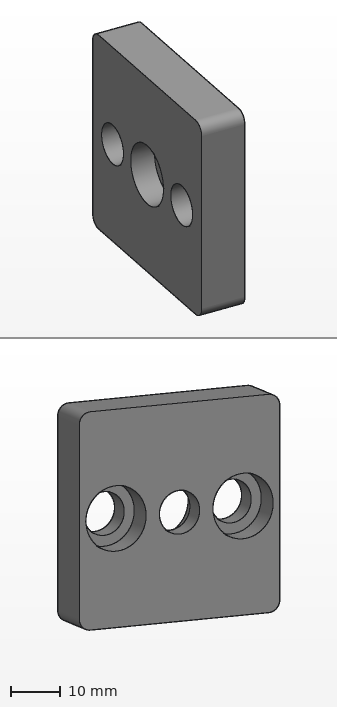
import cadquery as cq

side = 45.0
thickness = 10.0
corner_radius = 2.5

hole_diameter = 9.0
hole_spacing = 14.25
counterbore_diameter = 13.5
counterbore_depth = 5.5

front_y = -thickness / 2
back_y = thickness / 2


def make_cylinder(x, start_y, diameter, length):
    """Cylinder that runs toward +Y from start_y, with its axis at x and Z = 0."""
    base = cq.Workplane("XZ", origin=(x, start_y, 0)).circle(diameter / 2)
    return base.extrude(-length)


def make_plate():
    """Square plate with its four Y-direction edges rounded."""
    return cq.Workplane("XY").box(side, thickness, side).edges("|Y").fillet(corner_radius)


def make_counterbored_hole(x, counterbore_start_y):
    """Cutter for a through hole with a counterbore at one end."""
    hole = make_cylinder(x, front_y, hole_diameter, thickness)
    counterbore = make_cylinder(x, counterbore_start_y, counterbore_diameter, counterbore_depth)
    return hole.union(counterbore)


result = make_plate()
result = result.cut(make_counterbored_hole(0, front_y))
for hole_x in (-hole_spacing, hole_spacing):
    result = result.cut(make_counterbored_hole(hole_x, back_y - counterbore_depth))